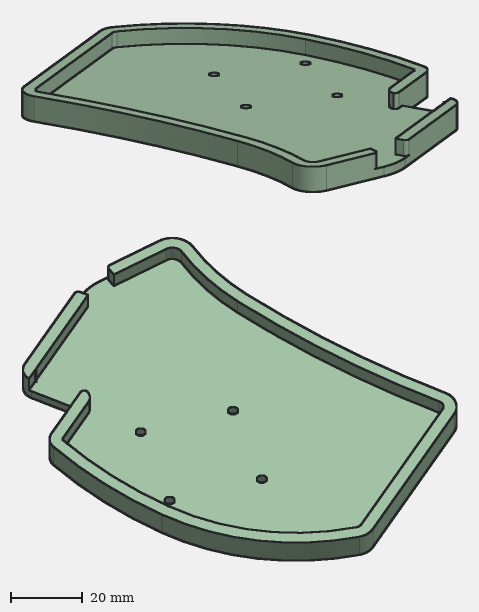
import cadquery as cq
import math

length = 114.7
height = 7.6
floor_thickness = 2.9
wall = 3.7

crown_left_x, crown_left_top, crown_left_radius = 49.8, 94.3, 71.5
crown_right_radius = 132.0
base_left_x, base_left_top, base_left_radius = 6.3, 17.0, 307.5
base_right_radius = 66.0

crown_join_x = 54.6
base_join_x = 72.3

tip_x = 99.4
slant_degrees = 61.0
slant = math.radians(slant_degrees)
shoulder_radius = 18.4
step_x, step_y = 96.0, 66.2

large_corner = 5.9
small_corner = 4.5
tip_corner = 6.7

mouth_depth = 3.8
bar_end_y = 30.6
slant_wall_length = 25.0
wall_end_corner = 1.1

hole_diameter = 2.8
hole_centre = (57.1, 65.6)
hole_circle_radius = 19.0


def arc_y(x, centre_x, top_y, radius):
    """Y on the upper half of a circle whose highest point is (centre_x, top_y)."""
    return top_y - radius + math.sqrt(radius**2 - (x - centre_x) ** 2)


def touching_circle(join_x, circle, new_radius):
    """Circle of new_radius that touches the given one at join_x, on the same side."""
    centre_x, top_y, radius = circle
    join_y = arc_y(join_x, *circle)
    scale = new_radius / radius
    new_x = join_x + (centre_x - join_x) * scale
    new_y = join_y + (top_y - radius - join_y) * scale
    return new_x, new_y + new_radius, new_radius


def round_corner(solid, point, radius):
    """Round the vertical edge of the solid nearest to a point in plan."""
    nearest = cq.selectors.NearestToPointSelector((*point, height / 2))
    return solid.edges("|Z").edges(nearest).fillet(radius)


crown_left = (crown_left_x, crown_left_top, crown_left_radius)
crown_right = touching_circle(crown_join_x, crown_left, crown_right_radius)
base_left = (base_left_x, base_left_top, base_left_radius)
base_right = touching_circle(base_join_x, base_left, base_right_radius)

low_left = (0, arc_y(0, *base_left))
base_join = (base_join_x, arc_y(base_join_x, *base_left))
tip = (tip_x, arc_y(tip_x, *base_right))
shoulder_low_x = length - shoulder_radius * (1 - math.sin(slant))
shoulder_low = (shoulder_low_x, tip[1] + (shoulder_low_x - tip_x) * math.tan(slant))
shoulder_high = (length, shoulder_low[1] + shoulder_radius * math.cos(slant))
bar_top = (length, step_y)
step = (step_x, step_y)
crown_right_end = (step_x, arc_y(step_x, *crown_right))
crown_join = (crown_join_x, arc_y(crown_join_x, *crown_left))
high_left = (0, arc_y(0, *crown_left))


def build_block():
    """Full-height block with the rounded outline."""
    block = (
        cq.Workplane("XY")
        .moveTo(*low_left)
        .radiusArc(base_join, base_left_radius)
        .radiusArc(tip, base_right_radius)
        .lineTo(*shoulder_low)
        .radiusArc(shoulder_high, -shoulder_radius)
        .lineTo(*bar_top)
        .lineTo(*step)
        .lineTo(*crown_right_end)
        .radiusArc(crown_join, -crown_right_radius)
        .radiusArc(high_left, -crown_left_radius)
        .close()
        .extrude(height)
    )
    for corner in (low_left, high_left):
        block = round_corner(block, corner, large_corner)
    block = round_corner(block, tip, tip_corner)
    for corner in (crown_right_end, bar_top):
        block = round_corner(block, corner, small_corner)
    return block


def build_mouth():
    """Opening between the crown wall and the bar, leaving a round end on the crown wall."""
    inner_x = step_x - wall
    mouth_width = length - wall - inner_x
    mouth = (
        cq.Workplane("XY")
        .center(inner_x + mouth_width / 2, step_y - mouth_depth / 2)
        .rect(mouth_width, mouth_depth)
        .extrude(height)
    )
    end_length = mouth_depth + wall
    crown_wall_end = (
        cq.Workplane("XY")
        .center(step_x - wall / 2, step_y - mouth_depth + end_length / 2)
        .slot2D(end_length, wall, 90)
        .extrude(height)
    )
    return mouth.cut(crown_wall_end)


def build_shoulder_gap(slant_wall_end, across):
    """Opening between the bar and the slanted wall, cutting each wall off square."""
    reach = 2 * wall
    outer = (slant_wall_end[0] + reach * across[0], slant_wall_end[1] + reach * across[1])
    inner = (slant_wall_end[0] - reach * across[0], slant_wall_end[1] - reach * across[1])
    return (
        cq.Workplane("XY")
        .polyline([inner, outer, (length + reach, bar_end_y), (length - reach, bar_end_y)])
        .close()
        .extrude(height)
    )


def build_walls(block):
    """Rim of constant width with its two openings and eased wall ends."""
    pocket = block.faces("<Z").wires().toPending().offset2D(-wall).extrude(height, combine=False)
    slant_wall_end = (
        tip[0] + slant_wall_length * math.cos(slant),
        tip[1] + slant_wall_length * math.sin(slant),
    )
    across = (math.sin(slant), -math.cos(slant))
    gap = build_shoulder_gap(slant_wall_end, across)
    walls = block.cut(pocket).cut(build_mouth()).cut(gap)
    for corner in ((length, bar_end_y), slant_wall_end):
        walls = round_corner(walls, corner, wall_end_corner)
    return walls


def build_holes():
    """Cutters for the through holes."""
    return (
        cq.Workplane("XY")
        .center(*hole_centre)
        .polarArray(hole_circle_radius, 0, 360, 4)
        .circle(hole_diameter / 2)
        .extrude(height)
    )


def build_floor(block):
    """Lowest layer of the block."""
    slab_side = 2 * length
    slab = cq.Workplane("XY").rect(slab_side, slab_side, centered=False).extrude(floor_thickness)
    return block.intersect(slab.translate((-length / 2, -length / 2, 0)))


block = build_block()
result = build_floor(block).union(build_walls(block)).cut(build_holes())